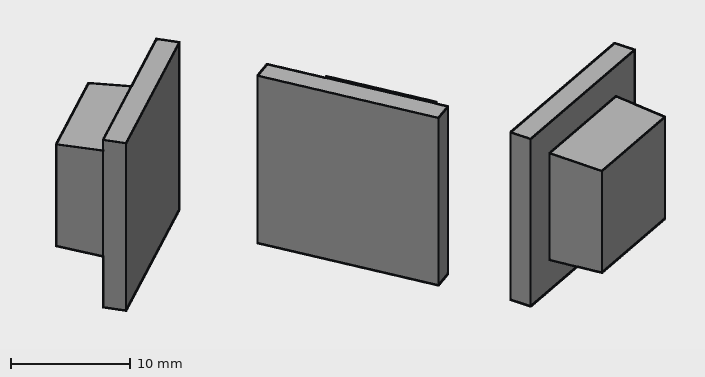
import cadquery as cq

flange_thickness = 2.0
flange_margin = 3.0
plug_length = 5.0
plug_root_side = 10.56
plug_taper = 0.25

flange_side = plug_root_side + 2 * flange_margin
plug_tip_side = plug_root_side - 2 * plug_taper


def make_flange():
    """Square plate whose -X face lies on the YZ plane."""
    return cq.Workplane("YZ").rect(flange_side, flange_side).extrude(flange_thickness)


def make_plug():
    """Square plug that tapers from the flange face toward -X."""
    return (
        cq.Workplane("YZ")
        .rect(plug_root_side, plug_root_side)
        .workplane(offset=-plug_length)
        .rect(plug_tip_side, plug_tip_side)
        .loft(ruled=True)
    )


result = make_flange().union(make_plug())